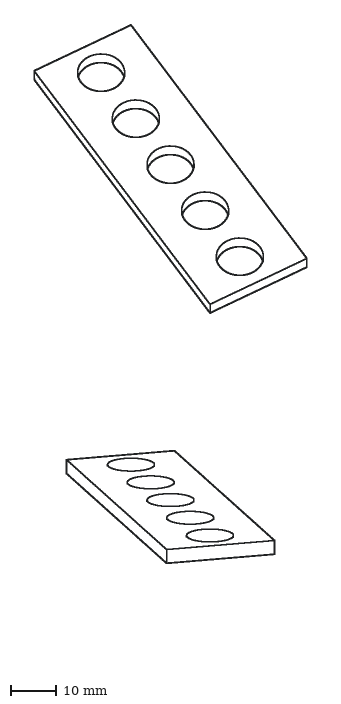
import cadquery as cq

length = 76.0
width = 25.0
thickness = 3.2

hole_count = 5
hole_diameter = 10.4
hole_pitch = 15.0

plate = cq.Workplane("XY").box(length, width, thickness)

result = (
    plate.faces(">Z")
    .workplane()
    .rarray(hole_pitch, 0.75, hole_count, 1)
    .hole(hole_diameter)
)